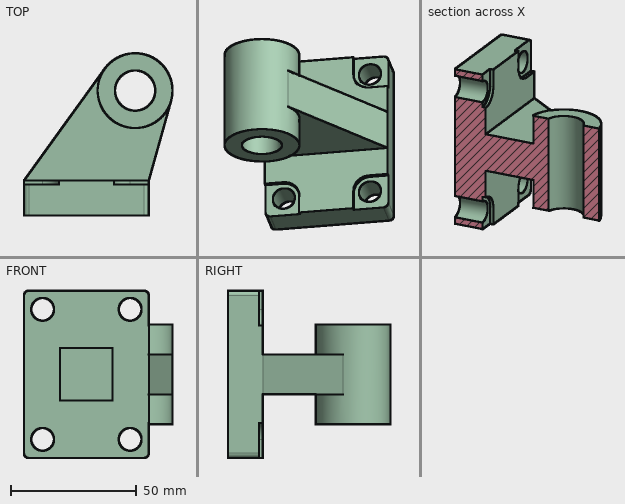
import cadquery as cq
import math

plate_width = 50.0
plate_height = 67.0
plate_thickness = 14.0
plate_corner_radius = 2.0

bolt_hole_diameter = 9.0
bolt_spacing_x = 35.0
bolt_spacing_z = 52.0
seat_radius = 6.5
seat_depth = 1.5

pocket_size = 21.0
pocket_depth = 3.0

boss_diameter = 30.0
boss_length = 40.0
bore_diameter = 16.0
boss_x = 19.5
boss_y = 50.0

web_thickness = 16.0


def box_between(x_range, y_range, z_range):
    """Box spanning the given (start, end) ranges, in either order."""
    ranges = (x_range, y_range, z_range)
    size = [abs(end - start) for start, end in ranges]
    corner = cq.Vector(*[min(limits) for limits in ranges])
    return cq.Workplane(cq.Solid.makeBox(*size, corner))


def cylinder_z(diameter, length):
    """Cylinder on the boss axis, centred on Z = 0."""
    return (
        cq.Workplane("XY", origin=(boss_x, boss_y, -length / 2))
        .circle(diameter / 2)
        .extrude(length)
    )


def tangent_point(corner_x, corner_y, side):
    """Point where a line from the corner touches the boss; side is -1 for left, +1 for right."""
    radius = boss_diameter / 2
    dx = corner_x - boss_x
    dy = corner_y - boss_y
    angle = math.atan2(dy, dx) + side * math.acos(radius / math.hypot(dx, dy))
    return (boss_x + radius * math.cos(angle), boss_y + radius * math.sin(angle))


def make_plate():
    """Plate with rounded corners, bolt holes and front pocket."""
    plate = (
        box_between(
            (-plate_width / 2, plate_width / 2),
            (0, plate_thickness),
            (-plate_height / 2, plate_height / 2),
        )
        .edges("|Y")
        .fillet(plate_corner_radius)
    )
    holes = (
        cq.Workplane("XZ")
        .rect(bolt_spacing_x, bolt_spacing_z, forConstruction=True)
        .vertices()
        .circle(bolt_hole_diameter / 2)
        .extrude(-plate_thickness)
    )
    pocket = cq.Workplane("XZ").rect(pocket_size, pocket_size).extrude(-pocket_depth)
    return plate.cut(holes).cut(pocket)


def make_bolt_seat(side_x, side_z):
    """Corner recess open to both plate edges, its inner corner rounded about the bolt axis."""
    inner_x = side_x * (bolt_spacing_x / 2 - seat_radius)
    inner_z = side_z * (bolt_spacing_z / 2 - seat_radius)
    seat = box_between(
        (inner_x, side_x * plate_width / 2),
        (plate_thickness - seat_depth, plate_thickness),
        (inner_z, side_z * plate_height / 2),
    )
    inner_corner = cq.selectors.NearestToPointSelector(
        (inner_x, plate_thickness - seat_depth / 2, inner_z)
    )
    return seat.edges(inner_corner).fillet(seat_radius)


def make_web():
    """Web whose sides run from the plate's back corners tangent to the boss."""
    left = -plate_width / 2
    right = plate_width / 2
    outline = [
        (left, plate_thickness),
        tangent_point(left, plate_thickness, -1),
        (boss_x, boss_y),
        tangent_point(right, plate_thickness, 1),
        (right, plate_thickness),
    ]
    return (
        cq.Workplane("XY", origin=(0, 0, -web_thickness / 2))
        .polyline(outline)
        .close()
        .extrude(web_thickness)
    )


plate = make_plate()
for side_x in (-1, 1):
    for side_z in (-1, 1):
        plate = plate.cut(make_bolt_seat(side_x, side_z))

boss = cylinder_z(boss_diameter, boss_length)
bore = cylinder_z(bore_diameter, boss_length)

result = plate.union(make_web()).union(boss).cut(bore)